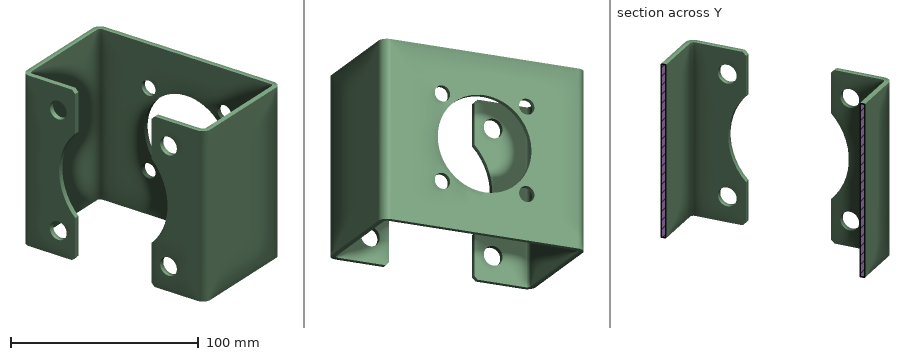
import cadquery as cq
import math

width = 120.0
depth = 70.0
height = 102.0
thickness = 3.0
outer_bend_radius = 5.0
inner_bend_radius = outer_bend_radius - thickness

lip_gap = 50.0
lip_corner_chamfer = 2.0
lip_cutout_diameter = 71.0
lip_hole_diameter = 11.0
lip_hole_circle_diameter = 102.0

bore_diameter = 55.0
back_hole_diameter = 9.0
back_hole_circle_diameter = 70.0

front_y = -depth / 2
back_y = depth / 2


def cylinder_along_y(diameter, points, start_y, length):
    """Cylinders pointing +Y from start_y, one at each (x, z) point."""
    plane = cq.Plane(origin=(0, start_y, 0), xDir=(1, 0, 0), normal=(0, -1, 0))
    return cq.Workplane(plane).pushPoints(points).circle(diameter / 2).extrude(-length)


def diagonal_points(circle_diameter):
    """Four (x, z) points on a circle, at 45 degrees to the axes."""
    offset = circle_diameter / 2 / math.sqrt(2)
    return [(x, z) for x in (-offset, offset) for z in (-offset, offset)]


def make_channel():
    """C-shaped channel with rounded bends and an opening in the front wall."""
    outer = cq.Workplane("XY").box(width, depth, height).edges("|Z").fillet(outer_bend_radius)
    inner = (
        cq.Workplane("XY")
        .box(width - 2 * thickness, depth - 2 * thickness, height)
        .edges("|Z")
        .fillet(inner_bend_radius)
    )
    opening = cq.Workplane("XY").box(lip_gap, 2 * thickness, height).translate((0, front_y, 0))
    return outer.cut(inner).cut(opening)


def break_lip_corners(body):
    """Chamfer the free corners at the top and bottom of both lips."""
    for side in (-1, 1):
        for end in (-1, 1):
            corner = (side * lip_gap / 2, front_y + thickness / 2, end * height / 2)
            nearest = cq.selectors.NearestToPointSelector(corner)
            body = body.edges("|Y").edges(nearest).chamfer(lip_corner_chamfer)
    return body


def cut_lips(body):
    """Round cutout across both lips and two access holes in each lip."""
    cutout = cylinder_along_y(lip_cutout_diameter, [(0, 0)], front_y, thickness)
    holes = cylinder_along_y(
        lip_hole_diameter, diagonal_points(lip_hole_circle_diameter), front_y, thickness
    )
    return body.cut(cutout).cut(holes)


def cut_back_wall(body):
    """Central bore and its four mounting holes."""
    start_y = back_y - thickness
    bore = cylinder_along_y(bore_diameter, [(0, 0)], start_y, thickness)
    holes = cylinder_along_y(
        back_hole_diameter, diagonal_points(back_hole_circle_diameter), start_y, thickness
    )
    return body.cut(bore).cut(holes)


bracket = make_channel()
bracket = break_lip_corners(bracket)
bracket = cut_lips(bracket)
bracket = cut_back_wall(bracket)
result = bracket